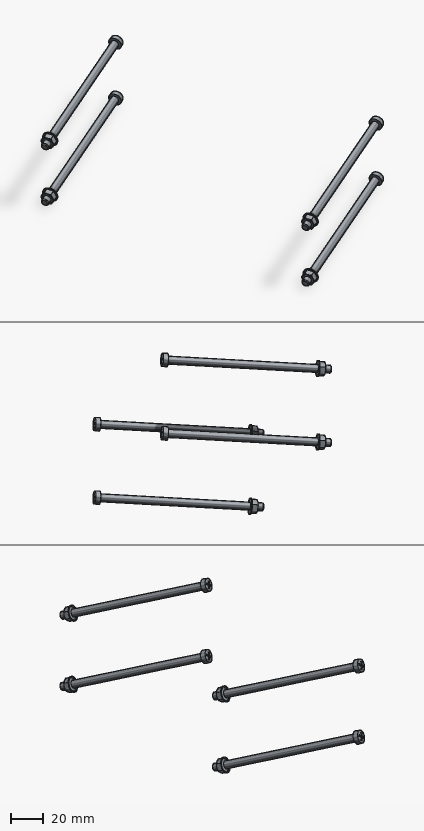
import cadquery as cq
import math

OVERALL_X = 186.5
OVERALL_Y = 107.4
OVERALL_Z = 56.5

SHANK_DIAMETER = 5.0
TIP_CHAMFER = 0.65

HEAD_BASE_DIAMETER = 8.5
HEAD_TOP_DIAMETER = 8.2
HEAD_SIDE_HEIGHT = 3.2
DOME_HEIGHT = 0.47
RECESS_WIDTH = 1.0
RECESS_LENGTH = 4.8
RECESS_DEPTH = 1.9

WASHER_DIAMETER = 10.0
WASHER_THICKNESS = 0.5
NUT_ACROSS_FLATS = 8.0
NUT_HEIGHT = 4.0
NUT_FACE_DIAMETER = 7.6
NUT_CHAMFER_ANGLE = 30.0
TIP_PROTRUSION = 4.1

NUT_START = TIP_PROTRUSION
WASHER_START = NUT_START + NUT_HEIGHT
WASHER_END = WASHER_START + WASHER_THICKNESS
HEAD_TOP = OVERALL_Y - DOME_HEIGHT
HEAD_BASE = HEAD_TOP - HEAD_SIDE_HEIGHT

SPACING_X = OVERALL_X - WASHER_DIAMETER
SPACING_Z = OVERALL_Z - WASHER_DIAMETER


def cylinder(diameter, start, end):
    """Cylinder along Z between two heights."""
    return cq.Workplane("XY").workplane(offset=start).circle(diameter / 2).extrude(end - start)


def make_shank():
    """Plain shank with a chamfered tip."""
    return cylinder(SHANK_DIAMETER, 0, HEAD_BASE).faces("<Z").chamfer(TIP_CHAMFER)


def make_head():
    """Tapered head revolved from its half profile, with a cross recess cut into the dome."""
    top_radius = HEAD_TOP_DIAMETER / 2
    dome_radius = (top_radius**2 + DOME_HEIGHT**2) / (2 * DOME_HEIGHT)
    mid_radius = top_radius / 2
    mid_height = OVERALL_Y - dome_radius + math.sqrt(dome_radius**2 - mid_radius**2)
    head = (
        cq.Workplane("XZ")
        .moveTo(0, HEAD_BASE)
        .lineTo(HEAD_BASE_DIAMETER / 2, HEAD_BASE)
        .lineTo(top_radius, HEAD_TOP)
        .threePointArc((mid_radius, mid_height), (0, OVERALL_Y))
        .close()
        .revolve(360, (0, 0, 0), (0, 1, 0))
    )
    recess_floor = cq.Workplane("XY").workplane(offset=OVERALL_Y - RECESS_DEPTH)
    for length_x, length_y in ((RECESS_LENGTH, RECESS_WIDTH), (RECESS_WIDTH, RECESS_LENGTH)):
        head = head.cut(recess_floor.rect(length_x, length_y).extrude(RECESS_DEPTH))
    return head


def make_nut():
    """Hexagon nut with its outer corners bevelled by a cone at the tip end."""
    across_corners = NUT_ACROSS_FLATS / math.cos(math.pi / 6)
    hexagon = (
        cq.Workplane("XY")
        .workplane(offset=NUT_START)
        .polygon(6, across_corners)
        .extrude(NUT_HEIGHT)
    )
    bevel_width = (across_corners - NUT_FACE_DIAMETER) / 2
    bevel_height = bevel_width * math.tan(math.radians(NUT_CHAMFER_ANGLE))
    envelope = cylinder(across_corners, NUT_START, WASHER_START).faces("<Z").chamfer(bevel_height, bevel_width)
    return hexagon.intersect(envelope)


def make_screw():
    """Screw with its washer and nut as one solid, turned so the head points to +Y."""
    washer = cylinder(WASHER_DIAMETER, WASHER_START, WASHER_END)
    screw = make_shank().union(make_head()).union(washer).union(make_nut())
    return screw.rotate((0, 0, 0), (1, 0, 0), -90).translate((0, -OVERALL_Y / 2, 0))


screw = make_screw()
screws = []
for x in (-SPACING_X / 2, SPACING_X / 2):
    for z in (-SPACING_Z / 2, SPACING_Z / 2):
        screws.append(screw.translate((x, 0, z)).val())

result = cq.Compound.makeCompound(screws)